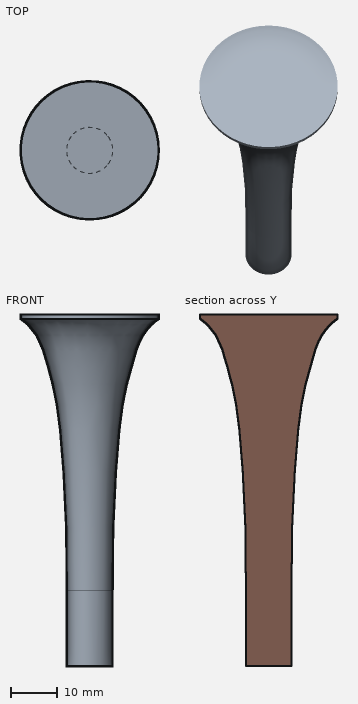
import cadquery as cq

total_height = 76.4
rim_diameter = 30.0
rim_thickness = 1.0
stem_diameter = 10.0
stem_length = 16.5

rim_radius = rim_diameter / 2
stem_radius = stem_diameter / 2
rim_bottom = total_height - rim_thickness

flare_points = [
    (5.2, 32.1),
    (6.0, 46.6),
    (7.8, 60.05),
    (9.55, 66.7),
    (11.6, 71.9),
]
flare_start_direction = (0, 1)
flare_end_direction = (1, 0.6)


def horn_profile():
    """Half section of the horn, closed along the Z axis."""
    return (
        cq.Workplane("XZ")
        .lineTo(stem_radius, 0)
        .lineTo(stem_radius, stem_length)
        .spline(
            flare_points + [(rim_radius, rim_bottom)],
            tangents=[flare_start_direction, flare_end_direction],
            includeCurrent=True,
        )
        .lineTo(rim_radius, total_height)
        .lineTo(0, total_height)
        .close()
    )


result = horn_profile().revolve(360, (0, 0, 0), (0, 1, 0))